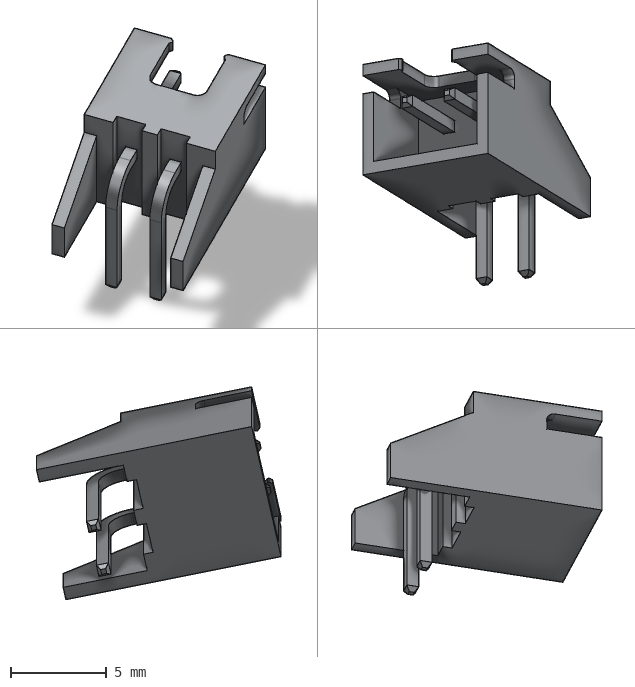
import cadquery as cq
import math


width = 7.4
body_length = 7.0
total_length = 11.5
body_height = 6.11
total_height = 9.83
arm_thickness = 0.7
cavity_wall = 0.64
roof = 0.62
cavity_depth = 5.0

arm_back_height = 4.81
arm_front_height = 2.13

slot_length = 3.0
slot_height = 1.0
slot_radius = 0.46

notch_width = 3.2
notch_length = 3.5
notch_radius = 0.55
bump_length = 0.4
bump_tip_length = 0.09
bump_height = 0.14

pin_count = 2
pitch = 2.5
pin_size = 0.64
pin_top = 4.08
pin_drop = total_height - body_height
pin_front = 9.28
pin_inset = 0.06
bend_outer_radius = 1.91
bend_inner_radius = bend_outer_radius - pin_size
tip_length = 0.28
tip_size = 0.28

pocket_width = 1.63
pocket_depth = 0.51

pin_places = [(i - (pin_count - 1) / 2) * pitch for i in range(pin_count)]


def box(x_min, x_max, y_min, y_max, z_min, z_max):
    """Block between the given limits."""
    size = (x_max - x_min, y_max - y_min, z_max - z_min)
    return cq.Workplane("XY").box(*size, centered=False).translate((x_min, y_min, z_min))


def make_side_profile_block():
    """Side outline of the housing and its sloping arms, across the whole width."""
    return (
        cq.Workplane("YZ", origin=(-width / 2, 0, 0))
        .moveTo(0, 0)
        .lineTo(0, body_height)
        .lineTo(-body_length, body_height)
        .lineTo(-body_length, arm_back_height)
        .lineTo(-total_length, arm_front_height)
        .lineTo(-total_length, 0)
        .close()
        .extrude(width)
    )


def make_cavity():
    """Mating cavity, open at the mouth."""
    half = width / 2 - cavity_wall
    return box(-half, half, -cavity_depth, 0, cavity_wall, body_height - roof)


def make_side_slot():
    """Slot through both side walls, with its upper inner corner rounded."""
    top = body_height - roof
    slot = box(-width / 2, width / 2, -slot_length, 0, top - slot_height, top)
    return slot.edges("|X and <Y and >Z").fillet(slot_radius)


def make_roof_notch():
    """Notch through the roof with rounded inner corners."""
    half = notch_width / 2
    notch = box(-half, half, -notch_length, 0, body_height - roof, body_height)
    return notch.edges("|Z and <Y").fillet(notch_radius)


def make_latch_bump(side):
    """Small trapezoid standing into the notch at its mouth; side is -1 or 1."""
    root = side * notch_width / 2
    tip = root - side * bump_height
    ramp = (bump_length - bump_tip_length) / 2
    return (
        cq.Workplane("XY", origin=(0, 0, body_height - roof))
        .moveTo(root, 0)
        .lineTo(tip, -ramp)
        .lineTo(tip, -ramp - bump_tip_length)
        .lineTo(root, -bump_length)
        .close()
        .extrude(roof)
    )


def make_pin(x):
    """Square pin: level run, quarter bend, vertical leg, and a tapered tip on both ends."""
    back = -pin_inset - tip_length
    bottom = -pin_drop + tip_length
    bend_y = -pin_front + bend_outer_radius
    bend_z = pin_top - bend_outer_radius
    middle_z = pin_top - pin_size / 2
    middle_y = -pin_front + pin_size / 2

    level_run = box(x - pin_size / 2, x + pin_size / 2, bend_y, back, pin_top - pin_size, pin_top)
    leg = box(x - pin_size / 2, x + pin_size / 2, -pin_front, -pin_front + pin_size, bottom, bend_z)
    diagonal = math.sqrt(0.5)
    bend = (
        cq.Workplane("YZ", origin=(x - pin_size / 2, 0, 0))
        .moveTo(bend_y, pin_top)
        .threePointArc(
            (bend_y - diagonal * bend_outer_radius, bend_z + diagonal * bend_outer_radius),
            (-pin_front, bend_z),
        )
        .lineTo(-pin_front + pin_size, bend_z)
        .threePointArc(
            (bend_y - diagonal * bend_inner_radius, bend_z + diagonal * bend_inner_radius),
            (bend_y, pin_top - pin_size),
        )
        .close()
        .extrude(pin_size)
    )
    back_tip = make_tip(cq.Plane((x, back, middle_z), xDir=(1, 0, 0), normal=(0, 1, 0)))
    bottom_tip = make_tip(cq.Plane((x, middle_y, bottom), xDir=(1, 0, 0), normal=(0, 0, -1)))
    return level_run.union(bend).union(leg).union(back_tip).union(bottom_tip)


def make_tip(plane):
    """Square taper standing on the plane."""
    return (
        cq.Workplane(plane)
        .rect(pin_size, pin_size)
        .workplane(offset=tip_length)
        .rect(tip_size, tip_size)
        .loft(ruled=True)
    )


def make_housing(pins):
    """Housing with its cavity, openings, latch bumps, pin pockets and pin holes."""
    half_gap = width / 2 - arm_thickness
    housing = make_side_profile_block()
    housing = housing.cut(box(-half_gap, half_gap, -total_length, -body_length, 0, body_height))
    housing = housing.cut(make_cavity()).cut(make_side_slot()).cut(make_roof_notch())
    for side in (-1, 1):
        housing = housing.union(make_latch_bump(side))
    for x in pin_places:
        half = pocket_width / 2
        housing = housing.cut(
            box(x - half, x + half, -body_length, -body_length + pocket_depth, 0, body_height)
        )
    for pin in pins:
        housing = housing.cut(pin)
    return housing


pins = [make_pin(x) for x in pin_places]
housing = make_housing(pins)

result = cq.Compound.makeCompound([housing.val(), *[pin.val() for pin in pins]])